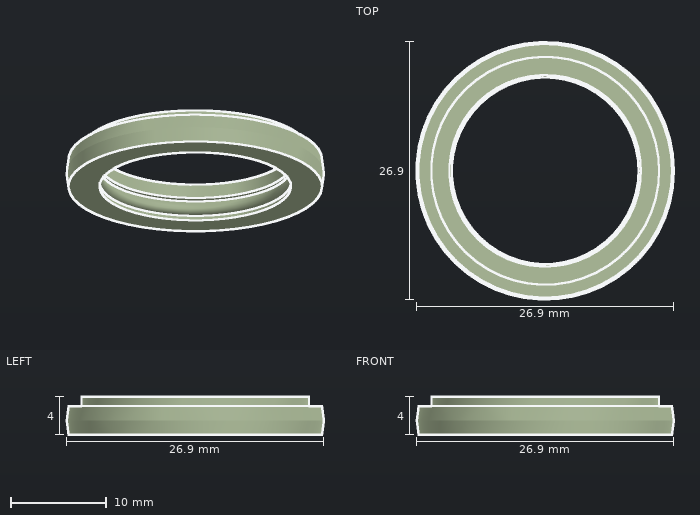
import cadquery as cq

bore_radius = 10.0
collar_radius = 11.9
rim_edge_radius = 13.25
rim_crown_radius = 13.45
rim_height = 3.0
total_height = 4.0

lip_height = 0.5
groove_width = 2.0
groove_top = lip_height + groove_width
cord_radius = 0.75
protrusion = 0.25
seal_inner_radius = bore_radius - protrusion
cord_center_radius = seal_inner_radius + cord_radius
cord_center_height = lip_height + groove_width / 2
groove_radius = cord_center_radius + cord_radius

crown_height = rim_height / 2


def make_housing():
    """Ring with a rim tapered both ways from its crown, a raised collar and a square groove in the bore."""
    return (
        cq.Workplane("XZ")
        .moveTo(bore_radius, 0)
        .lineTo(rim_edge_radius, 0)
        .lineTo(rim_crown_radius, crown_height)
        .lineTo(rim_edge_radius, rim_height)
        .lineTo(collar_radius, rim_height)
        .lineTo(collar_radius, total_height)
        .lineTo(bore_radius, total_height)
        .lineTo(bore_radius, groove_top)
        .lineTo(groove_radius, groove_top)
        .lineTo(groove_radius, lip_height)
        .lineTo(bore_radius, lip_height)
        .close()
        .revolve(360, (0, 0, 0), (0, 1, 0), clean=False)
    )


def make_seal():
    """O-ring of round cord, drawn as two half circles that meet at its inner and outer radius."""
    cord_top = (cord_center_radius, cord_center_height + cord_radius)
    cord_bottom = (cord_center_radius, cord_center_height - cord_radius)
    return (
        cq.Workplane("XZ")
        .moveTo(seal_inner_radius, cord_center_height)
        .threePointArc(cord_top, (groove_radius, cord_center_height))
        .threePointArc(cord_bottom, (seal_inner_radius, cord_center_height))
        .close()
        .revolve(360, (0, 0, 0), (0, 1, 0), clean=False)
    )


housing = make_housing()
seal = make_seal()

result = cq.Compound.makeCompound([housing.val(), seal.val()])